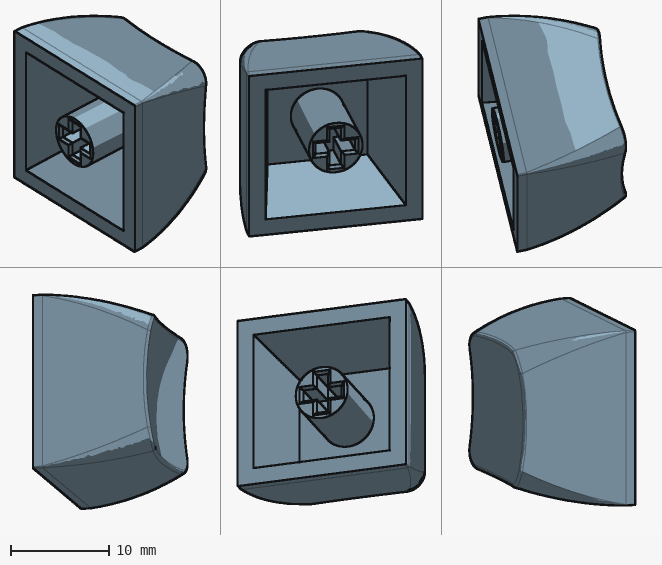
import cadquery as cq
import math

base_size = 18.2
skirt_height = 1.0
skirt_corner_radius = 0.15

crown_height = 12.38
crown_top_size = 13.76
crown_lean = 0.36
crown_top_corner_radius = 2.18
crown_section_count = 5

dish_radius = 30.03
dish_bottom = 10.63
dish_edge_radius = 0.36

cavity_mouth_size = 14.67
cavity_floor_size = 10.45
cavity_depth = 8.19

stem_diameter = 5.6
cross_length = 4.79
cross_width = 1.85
cross_chamfer = 0.33
cross_chamfer_depth = 0.25
cross_depth = 3.64


def section(y, size, corner_radius):
    """Rounded square wire, parallel to XZ, at height y."""
    return (
        cq.Sketch().rect(size, size).vertices().fillet(corner_radius)
        .moved(cq.Location(cq.Plane(origin=(0, y, 0), xDir=(1, 0, 0), normal=(0, 1, 0))))
    )


def square(y, size):
    """Workplane facing +Y at height y holding a centred square."""
    return cq.Workplane("ZX", origin=(0, y, 0)).rect(size, size)


def make_skirt():
    return square(0, base_size).extrude(skirt_height).edges("|Y").fillet(skirt_corner_radius)


def make_crown():
    rise = crown_height - skirt_height
    bulge = (base_size - crown_top_size) / 2 - crown_lean
    side_radius = (rise**2 + bulge**2) / (2 * bulge)
    sections = []
    for index in range(crown_section_count):
        fraction = index / (crown_section_count - 1)
        height = rise * fraction
        inset = crown_lean * fraction + side_radius - math.sqrt(side_radius**2 - height**2)
        size = base_size - 2 * inset
        radius = skirt_corner_radius + (crown_top_corner_radius - skirt_corner_radius) * fraction
        sections.append(section(skirt_height + height, size, radius))
    crown = cq.Workplane().placeSketch(*sections).loft()
    dish = cq.Workplane().sphere(dish_radius).translate((0, dish_bottom + dish_radius, 0))
    return crown.cut(dish).faces(">Y").edges().fillet(dish_edge_radius)


def make_cavity():
    taper = math.degrees(math.atan2(cavity_mouth_size - cavity_floor_size, 2 * cavity_depth))
    return square(0, cavity_mouth_size).extrude(cavity_depth, taper=taper)


def make_stem():
    return cq.Workplane("ZX").circle(stem_diameter / 2).extrude(cavity_depth)


def cross(size_reduction, depth, taper=0):
    """Two crossing bars, shrunk all round by size_reduction and leaning in by taper."""
    length = cross_length - 2 * size_reduction
    width = cross_width - 2 * size_reduction
    plane = cq.Workplane("ZX")
    bar_x = plane.rect(width, length).extrude(depth, taper=taper)
    bar_z = plane.rect(length, width).extrude(depth, taper=taper)
    return bar_x.union(bar_z)


def make_cross_socket():
    chamfer_angle = math.degrees(math.atan2(cross_chamfer, cross_chamfer_depth))
    lead_in = cross(0, cross_chamfer_depth, chamfer_angle)
    return cross(cross_chamfer, cross_depth).union(lead_in)


body = make_skirt().union(make_crown())
result = body.cut(make_cavity()).union(make_stem()).cut(make_cross_socket())